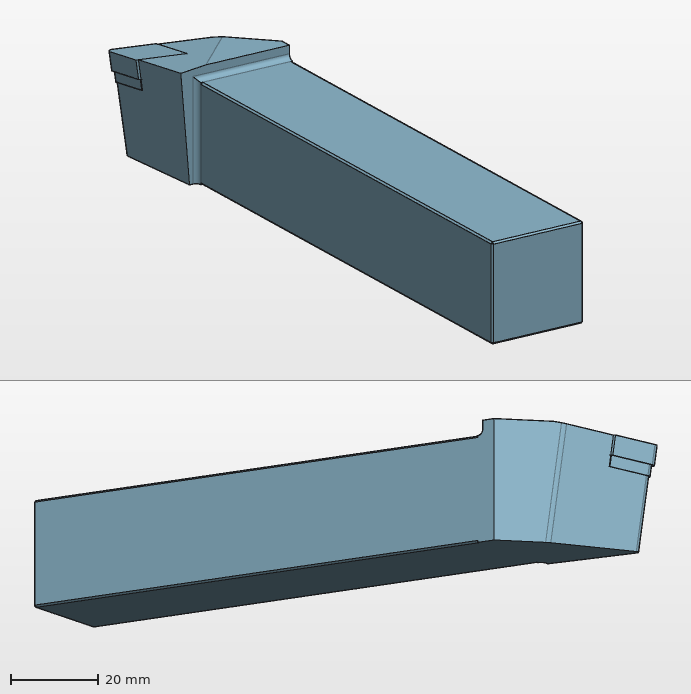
import cadquery as cq
import math

overall_length = 150.0
shank_size = 25.0
shank_chamfer = 0.5

head_height = 28.5
head_back_x = 27.2
head_fillet = 1.4
bevel_start_x = 24.0
tilt_angle = 7.5
hinge_sum = 29.4
bevel_blend_radius = 5.4

corner_x = -0.82
corner_y = -7.0
side_edge_angle = 58.2
front_edge_angle = 4.0
nose_radius = 0.9

insert_side = 11.7
insert_thickness = 4.8
pad_thickness = 2.7
pad_inset = 0.3
holder_inset = 0.5

tilt = math.radians(tilt_angle)
wedge_reach = 2 * head_height
tilt_lean = math.sin(tilt) / math.sqrt(2)
tilt_axis = cq.Vector(-tilt_lean, -tilt_lean, math.cos(tilt))


def plan_direction(degrees):
    """Unit vector in plan at an angle from +X."""
    return cq.Vector(math.cos(math.radians(degrees)), math.sin(math.radians(degrees)), 0)


side_direction = plan_direction(side_edge_angle)
front_direction = plan_direction(front_edge_angle)
corner_sine = math.sin(math.radians(side_edge_angle - front_edge_angle))
sharp_corner = cq.Vector(corner_x, corner_y, 0)


def on_slope(point):
    """Lift a plan point onto the sloping top plane."""
    drop = (hinge_sum - point.x - point.y) / math.sqrt(2) * math.tan(tilt)
    return cq.Vector(point.x, point.y, head_height - drop)


def tilted_prism(plan_points, top_depth, bottom_depth):
    """Prism square to the sloping top plane, between two depths below it."""
    top = [on_slope(point) - tilt_axis * top_depth for point in plan_points]
    outline = cq.Wire.makePolygon(top, close=True)
    return cq.Workplane(cq.Solid.extrudeLinear(outline, [], tilt_axis * (top_depth - bottom_depth)))


def inset_corner(inset):
    """Cutting corner in plan after both of its edges move inward by inset."""
    return sharp_corner + (side_direction + front_direction) * (inset / corner_sine)


def corner_prism(inset, side_length, top_depth, bottom_depth):
    """Rounded-nose rhombus whose two outer edges are set back by inset."""
    nose = inset_corner(inset)
    along_side = side_direction * side_length
    along_front = front_direction * side_length
    points = [nose, nose + along_front, nose + along_front + along_side, nose + along_side]
    prism = tilted_prism(points, top_depth, bottom_depth)
    middle_depth = (top_depth + bottom_depth) / 2
    nose_middle = on_slope(nose) - tilt_axis * middle_depth
    nose_edge = cq.selectors.NearestToPointSelector(nose_middle.toTuple())
    return prism.edges(nose_edge).fillet(nose_radius)


def make_insert():
    return corner_prism(0, insert_side, 0, insert_thickness)


def make_pad():
    pad_side = insert_side - pad_inset / corner_sine
    return corner_prism(pad_inset, pad_side, insert_thickness, insert_thickness + pad_thickness)


def make_shank():
    shank = cq.Workplane("XY").box(overall_length - head_back_x, shank_size, shank_size, centered=False)
    shank = shank.translate((head_back_x, 0, 0))
    return shank.edges("|X or >X").chamfer(shank_chamfer)


def make_head():
    """Beveled block trimmed by the tilted wedge, with the bevel blended into the wedge side."""
    bevel_drop = shank_size - corner_y
    block = (
        cq.Workplane("XY")
        .moveTo(head_back_x, corner_y)
        .lineTo(head_back_x, shank_size)
        .lineTo(bevel_start_x, shank_size)
        .lineTo(bevel_start_x - bevel_drop, corner_y)
        .close()
        .extrude(head_height)
    )
    head = block.intersect(corner_prism(holder_inset, wedge_reach, 0, wedge_reach))
    nose = inset_corner(holder_inset)
    bevel_y_minus_x = shank_size - bevel_start_x
    run = (bevel_y_minus_x - nose.y + nose.x) / (side_direction.y - side_direction.x)
    edge_middle = on_slope(nose + side_direction * run) - tilt_axis * (head_height / 2)
    bevel_edge = cq.selectors.NearestToPointSelector(edge_middle.toTuple())
    return head.edges(bevel_edge).fillet(bevel_blend_radius)


def make_step_blend():
    """Concave blend from the head down to the -Y and top faces of the shank."""
    blend_end_x = head_back_x + head_fillet
    top_z = shank_size + head_fillet
    block = cq.Workplane("XY").box(head_fillet, shank_size + head_fillet, top_z, centered=False)
    block = block.translate((head_back_x, -head_fillet, 0))
    side_round = cq.Workplane("XY").center(blend_end_x, -head_fillet).circle(head_fillet).extrude(top_z)
    top_round = (
        cq.Workplane("XZ", origin=(0, shank_size, 0))
        .center(blend_end_x, top_z)
        .circle(head_fillet)
        .extrude(shank_size + head_fillet)
    )
    return block.cut(side_round).cut(top_round)


def make_holder():
    """Shank and head in one piece, with the seat pad standing in the insert pocket."""
    return make_head().union(make_shank()).union(make_step_blend()).union(make_pad())


insert = make_insert()
holder = make_holder().cut(insert)
result = cq.Compound.makeCompound([holder.val(), insert.val()])